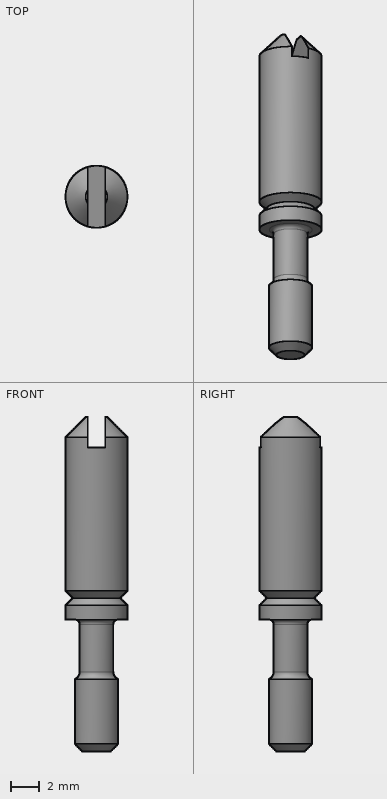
import cadquery as cq
import math


overall_height = 23.1
shank_top = 5.0
neck_bottom = 5.5
flange_bottom = 9.1
flange_thickness = 1.5

body_radius = 4.3 / 2
shank_radius = 3.0 / 2
tip_radius = 1.95 / 2
neck_radius = 2.35 / 2
nose_radius = 1.5 / 2

joint_chamfer = 0.5
tip_chamfer = shank_radius - tip_radius
nose_chamfer = body_radius - nose_radius

slot_width = 1.2
slot_depth = 2.1

flare_width = shank_radius - neck_radius
flare_height = neck_bottom - shank_top
flare_radius = (flare_width**2 + flare_height**2) / (2 * flare_width)
flare_mid_angle = math.asin(flare_height / flare_radius) / 2
flare_mid_radius = neck_radius + flare_radius * (1 - math.cos(flare_mid_angle))
flare_mid_height = neck_bottom - flare_radius * math.sin(flare_mid_angle)

fillet_radius = 0.3
fillet_mid_angle = math.radians(45)
fillet_bottom = flange_bottom - fillet_radius
fillet_mid_radius = neck_radius + fillet_radius * (1 - math.cos(fillet_mid_angle))
fillet_mid_height = fillet_bottom + fillet_radius * math.sin(fillet_mid_angle)

joint_height = flange_bottom + flange_thickness
joint_radius = body_radius - joint_chamfer


def revolve_about_z(profile):
    """Turn a closed half profile, drawn as (radius, Z), into a solid."""
    return profile.close().revolve(360, (0, 0, 0), (0, 1, 0))


def make_pin():
    """Lower body: chamfered shank, flared neck and flange."""
    profile = (
        cq.Workplane("XZ")
        .lineTo(tip_radius, 0)
        .lineTo(shank_radius, tip_chamfer)
        .lineTo(shank_radius, shank_top)
        .threePointArc((flare_mid_radius, flare_mid_height), (neck_radius, neck_bottom))
        .lineTo(neck_radius, fillet_bottom)
        .threePointArc((fillet_mid_radius, fillet_mid_height), (neck_radius + fillet_radius, flange_bottom))
        .lineTo(body_radius, flange_bottom)
        .lineTo(body_radius, joint_height - joint_chamfer)
        .lineTo(joint_radius, joint_height)
        .lineTo(0, joint_height)
    )
    return revolve_about_z(profile)


def make_head():
    """Upper body: cylinder with a conical nose and a slot running along Y."""
    profile = (
        cq.Workplane("XZ")
        .moveTo(0, joint_height)
        .lineTo(joint_radius, joint_height)
        .lineTo(body_radius, joint_height + joint_chamfer)
        .lineTo(body_radius, overall_height - nose_chamfer)
        .lineTo(nose_radius, overall_height)
        .lineTo(0, overall_height)
    )
    slot = (
        cq.Workplane("XY", origin=(0, 0, overall_height - slot_depth))
        .rect(slot_width, 2 * body_radius)
        .extrude(slot_depth)
    )
    return revolve_about_z(profile).cut(slot)


pin = make_pin()
head = make_head()

result = cq.Compound.makeCompound([pin.val(), head.val()])